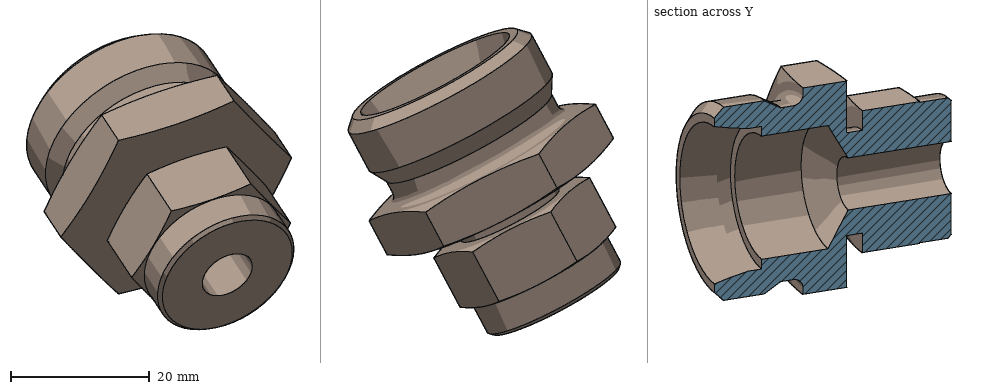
import cadquery as cq
import math

total_length = 37.5
large_hex_start = 14.02
large_hex_end = 21.0
nut_start = 23.4
nut_end = 32.5

thread_diameter = 30.0
thread_chamfer = 1.5
thread_end = 7.9
relief_diameter = 27.0
relief_flank_angle = 30.0
relief_fillet = 1.5

large_hex_flats = 32.0
nut_flats = 22.0
hex_bevel_angle = 15.0

neck_diameter = 16.0
collar_diameter = 21.82
collar_chamfer = 0.52

mouth_diameter = 24.3
seat_diameter = 22.0
mouth_half_angle = 12.0
seat_depth = 7.5
chamber_diameter = 19.0
chamber_depth = 18.0
chamber_tip_half_angle = 60.0
through_diameter = 8.0


def axial_run(large_diameter, small_diameter, half_angle):
    """Length along X of a cone that tapers between two diameters."""
    return (large_diameter - small_diameter) / 2 / math.tan(math.radians(half_angle))


def revolve_about_x(profile):
    """Turn a closed profile, drawn as (x, radius) in the XY plane, about the X axis."""
    return profile.close().revolve(360, (0, 0, 0), (1, 0, 0))


def bevelled_hexagon(start, end, flats):
    """Hexagonal collar, flats facing up and down, with both ends bevelled at the corners."""
    corners_diameter = flats / math.cos(math.radians(30))
    flat_radius = flats / 2
    corner_radius = corners_diameter / 2
    bevel = (corner_radius - flat_radius) * math.tan(math.radians(hex_bevel_angle))
    prism = cq.Workplane("YZ", origin=(start, 0, 0)).polygon(6, corners_diameter).extrude(end - start)
    envelope = revolve_about_x(
        cq.Workplane("XY")
        .moveTo(start, 0)
        .lineTo(start, flat_radius)
        .lineTo(start + bevel, corner_radius)
        .lineTo(end - bevel, corner_radius)
        .lineTo(end, flat_radius)
        .lineTo(end, 0)
    )
    return prism.intersect(envelope)


def threaded_end():
    """Chamfered thread cylinder, relief groove and the fillet that meets the large hexagon."""
    thread_radius = thread_diameter / 2
    relief_radius = relief_diameter / 2
    relief_start = thread_end + axial_run(thread_diameter, relief_diameter, relief_flank_angle)
    fillet_start = large_hex_start - relief_fillet
    fillet_diagonal = relief_fillet * math.sqrt(0.5)
    return revolve_about_x(
        cq.Workplane("XY")
        .lineTo(0, thread_radius - thread_chamfer)
        .lineTo(thread_chamfer, thread_radius)
        .lineTo(thread_end, thread_radius)
        .lineTo(relief_start, relief_radius)
        .lineTo(fillet_start, relief_radius)
        .threePointArc(
            (fillet_start + fillet_diagonal, relief_radius + relief_fillet - fillet_diagonal),
            (large_hex_start, relief_radius + relief_fillet),
        )
        .lineTo(large_hex_start, 0)
    )


def cylinder(start, end, diameter):
    """Plain round section along X."""
    return cq.Workplane("YZ", origin=(start, 0, 0)).circle(diameter / 2).extrude(end - start)


def stepped_bore():
    """Conical mouth, short seat, chamber with a conical bottom and a through hole."""
    mouth_depth = axial_run(mouth_diameter, seat_diameter, mouth_half_angle)
    tip_end = chamber_depth + axial_run(chamber_diameter, through_diameter, chamber_tip_half_angle)
    return revolve_about_x(
        cq.Workplane("XY")
        .lineTo(0, mouth_diameter / 2)
        .lineTo(mouth_depth, seat_diameter / 2)
        .lineTo(seat_depth, seat_diameter / 2)
        .lineTo(seat_depth, chamber_diameter / 2)
        .lineTo(chamber_depth, chamber_diameter / 2)
        .lineTo(tip_end, through_diameter / 2)
        .lineTo(total_length, through_diameter / 2)
        .lineTo(total_length, 0)
    )


neck = cylinder(large_hex_end, nut_start, neck_diameter)
collar = cylinder(nut_end, total_length, collar_diameter).faces(">X").chamfer(collar_chamfer)

result = (
    threaded_end()
    .union(bevelled_hexagon(large_hex_start, large_hex_end, large_hex_flats))
    .union(neck)
    .union(bevelled_hexagon(nut_start, nut_end, nut_flats))
    .union(collar)
    .cut(stepped_bore())
)